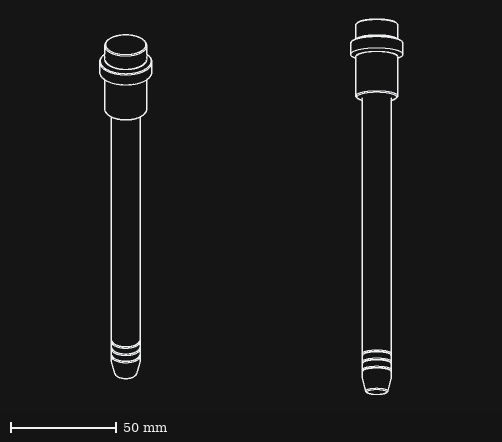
import cadquery as cq
import math

total_length = 181.0
head_diameter = 20.1
flange_diameter = 25.0
rod_diameter = 14.0
tip_diameter = 10.7

cap_length = 9.0
flange_length = 6.0
sleeve_length = 21.0
tip_length = 7.0

cap_chamfer = 0.5
flange_chamfer = 0.45
sleeve_chamfer = 0.5
tip_chamfer = 0.5
shoulder_fillet = 0.5

relief_width = 1.0
relief_depth = 0.4
relief_fillet = 0.45

ring_groove_count = 3
ring_groove_pitch = 4.0
ring_groove_width = 0.9
ring_groove_depth = 0.5
lowest_groove_height = 10.5

flange_top = total_length - cap_length
flange_bottom = flange_top - flange_length
sleeve_bottom = flange_bottom - sleeve_length

head_radius = head_diameter / 2
rod_radius = rod_diameter / 2


def cylinder(diameter, bottom, top):
    """Solid cylinder on the pin axis between two heights."""
    return cq.Workplane("XY").workplane(offset=bottom).circle(diameter / 2).extrude(top - bottom)


def turned(section):
    """Body turned around the pin axis from a closed section of (radius, height) points."""
    return cq.Workplane("XZ").polyline(section).close().revolve(360, (0, 0), (0, 1))


def plain_rod():
    """Rod with its chamfered, tapered tip."""
    tip_radius = tip_diameter / 2
    return turned([
        (0, 0),
        (tip_radius - tip_chamfer, 0),
        (tip_radius, tip_chamfer),
        (rod_radius, tip_length),
        (rod_radius, sleeve_bottom),
        (0, sleeve_bottom),
    ])


def ring_groove(center):
    """V-shaped ring to cut from the rod at the given height."""
    half_width = ring_groove_width / 2
    return turned([
        (rod_radius, center - half_width),
        (rod_radius - ring_groove_depth, center),
        (rod_radius, center + half_width),
    ])


def relief(flange_face, direction):
    """Ring to cut from the head, from a flange face up (1) or down (-1)."""
    floor_radius = head_radius - relief_depth
    relief_end = flange_face + direction * relief_width
    return turned([
        (head_radius, flange_face),
        (floor_radius, flange_face),
        (floor_radius, relief_end),
        (head_radius, relief_end),
    ])


def corner_fillet(shaft_radius, fillet_radius, face_height, direction):
    """Fillet ring between a shaft and the flat face it leaves up (1) or down (-1)."""
    arc_offset = fillet_radius * (1 - math.sqrt(0.5))
    return (
        cq.Workplane("XZ")
        .moveTo(shaft_radius, face_height)
        .lineTo(shaft_radius + fillet_radius, face_height)
        .threePointArc(
            (shaft_radius + arc_offset, face_height + direction * arc_offset),
            (shaft_radius, face_height + direction * fillet_radius),
        )
        .close()
        .revolve(360, (0, 0), (0, 1))
    )


head = cylinder(head_diameter, sleeve_bottom, total_length)
head = head.faces(">Z").edges().chamfer(cap_chamfer)
head = head.faces("<Z").edges().chamfer(sleeve_chamfer)
flange = cylinder(flange_diameter, flange_bottom, flange_top)
flange = flange.faces(">Z").edges().chamfer(flange_chamfer)
for flange_face, direction in ((flange_top, 1), (flange_bottom, -1)):
    head = head.cut(relief(flange_face, direction))
    flange = flange.union(corner_fillet(head_radius - relief_depth, relief_fillet, flange_face, direction))
head = head.union(flange)

rod = plain_rod()
for index in range(ring_groove_count):
    rod = rod.cut(ring_groove(lowest_groove_height + index * ring_groove_pitch))

shoulder = corner_fillet(rod_radius, shoulder_fillet, sleeve_bottom, -1)

result = head.union(rod).union(shoulder)